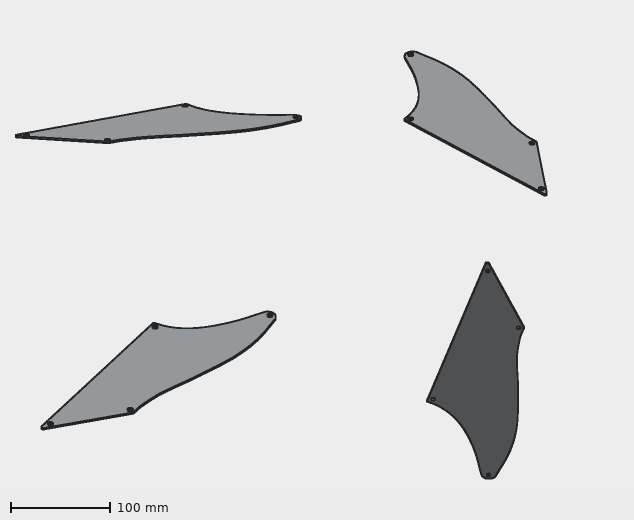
import cadquery as cq

length = 278.6
width = 100.0
thickness = 2.0

shoulder = (0, 197.0)
heel = (63.0, 72.5)
toe_left = (0, 0.8)
toe_bottom = (2.0, 0)
toe_right = (4.0, 1.5)
tip_left = (81.5, 274.2)
tip_top = (89.0, length)
tip_right = (96.5, 273.0)

concave_edge = [(31.8, 208.7), (53.0, 228.8), (70.5, 254.0), tip_left]
concave_directions = [(1, 0.1), (0.5, 0.9)]
wavy_edge = [(width, 234.0), (95.9, 198.7), (89.0, 173.5), (77.2, 138.2), (67.2, 108.0), (63.5, 87.8), heel]
wavy_directions = [(0.15, -1), (0, -1)]

hole_diameter = 3.5
countersink_diameter = 5.5
countersink_angle = 90
edge_inset = 5.0
hole_centers = [
    (edge_inset, 10.0),
    (edge_inset, 192.5),
    (58.0, 74.0),
    (89.2, 273.5),
]


def make_plate():
    """Flat plate with a rounded tip, a rounded toe and two freeform edges."""
    outline = (
        cq.Workplane("XY")
        .moveTo(*toe_left)
        .lineTo(*shoulder)
        .spline(concave_edge, tangents=concave_directions, includeCurrent=True)
        .threePointArc(tip_top, tip_right)
        .spline(wavy_edge, tangents=wavy_directions, includeCurrent=True)
        .lineTo(*toe_right)
        .threePointArc(toe_bottom, toe_left)
        .close()
    )
    return outline.extrude(thickness)


def cut_screw_holes(plate):
    """Through holes countersunk from the top face."""
    return (
        plate.faces(">Z")
        .workplane(origin=(0, 0, thickness))
        .pushPoints(hole_centers)
        .cskHole(hole_diameter, countersink_diameter, countersink_angle)
    )


result = cut_screw_holes(make_plate())